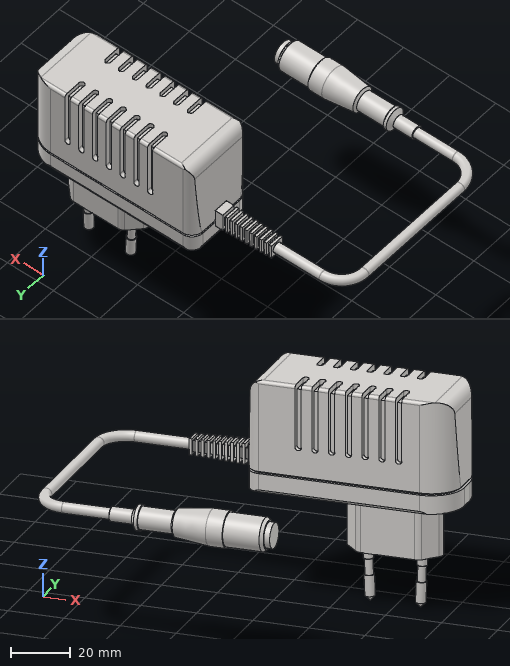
import cadquery as cq
import math


OVERALL_LENGTH = 130.0
OVERLAP = 1.3

CASE_LENGTH = 74.0
CASE_WIDTH = 28.9
CASE_HEIGHT = 40.0
CABLE_END_RADIUS = 4.8
FAR_END_RADIUS = 11.7
END_DRAFT = math.radians(2.2)
COVER_FAR_STEP = 0.3
END_TOP_RADIUS = 5.2
SIDE_TOP_RADIUS = 1.2
FOOT_BEVEL_HEIGHT = 0.8
FOOT_BEVEL_DEPTH = 0.3

BASE_HEIGHT = 6.6
GROOVE_HEIGHT = 0.8
GROOVE_DEPTH = 1.0

SLOT_COUNT = 7
SLOT_PITCH = 6.0
SLOT_FIRST_X = 19.0
SLOT_WIDTH = 2.2
SLOT_DEPTH = 2.0
SLOT_BOTTOM_Z = 16.8
SLOT_TOP_REACH = 8.6

PLUG_X = 48.4
PLUG_LENGTH = 34.3
PLUG_WIDTH = 15.0
PLUG_HEIGHT = 19.8
PLUG_CORNER_RADIUS = 3.0
PIN_SPACING = 19.5
PIN_TILT = 2.3
PIN_RADIUS = 1.8
PIN_WAIST_RADIUS = 3.0 / 2
PIN_COLLAR_LENGTH = 4.4
PIN_WAIST_LENGTH = 5.8
PIN_SHANK_LENGTH = 7.5
PIN_TIP_LENGTH = 2.0

CABLE_Z = 8.2
CABLE_RADIUS = 4.0 / 2
CABLE_FAR_X = CASE_LENGTH - OVERALL_LENGTH + CABLE_RADIUS
CABLE_BEND_RADIUS = 9.9

RELIEF_BLOCK_LENGTH = 3.1
RELIEF_WIDTH = 5.8
RELIEF_BLOCK_HEIGHT = 7.5
RELIEF_TIP_HEIGHT = 5.8
RELIEF_CORE_SIDE = 4.0
RIB_COUNT = 10
RIBBED_LENGTH = 21.0
RIB_PITCH = RIBBED_LENGTH / RIB_COUNT
RIB_THICKNESS = 1.0

CONNECTOR_Y = -70.1
CONNECTOR_X = -27.0
CONNECTOR_PROFILE = [
    (0.0, 2.6),
    (8.0, 2.6),
    (9.5, 4.5),
    (10.8, 4.5),
    (10.8, 4.0),
    (22.8, 4.0),
    (23.5, 5.1),
    (35.9, 6.5),
    (41.9, 6.5),
    (41.9, 6.0),
    (54.9, 6.0),
    (56.0, 5.1),
    (56.0, 4.5),
    (58.1, 4.5),
]


def case_plan(height):
    """Case plan with small corners at the cable end and large ones at the far end."""
    block = cq.Workplane("XY").box(CASE_LENGTH, CASE_WIDTH, height, centered=(False, True, False))
    block = block.edges("|Z and <X").fillet(CABLE_END_RADIUS)
    return block.edges("|Z and >X").fillet(FAR_END_RADIUS)


def lengthwise_section():
    """Case section along X: upright base under a cover with drafted, rounded ends.

    The cover steps in slightly from the base at the far end.
    """
    top_inset = (CASE_HEIGHT - BASE_HEIGHT) * math.tan(END_DRAFT)
    outline = [
        (FOOT_BEVEL_DEPTH, 0),
        (CASE_LENGTH, 0),
        (CASE_LENGTH, BASE_HEIGHT),
        (CASE_LENGTH - COVER_FAR_STEP, BASE_HEIGHT),
        (CASE_LENGTH - COVER_FAR_STEP - top_inset, CASE_HEIGHT),
        (top_inset, CASE_HEIGHT),
        (0, BASE_HEIGHT),
        (0, FOOT_BEVEL_HEIGHT),
    ]
    section = cq.Workplane("XZ").polyline(outline).close().extrude(CASE_WIDTH / 2, both=True)
    return section.faces(">Z").edges("|Y").fillet(END_TOP_RADIUS)


def crosswise_section():
    """Case section across Y: rounded top edges and a slight bevel at the foot."""
    half = CASE_WIDTH / 2
    outline = [
        (FOOT_BEVEL_DEPTH - half, 0),
        (half - FOOT_BEVEL_DEPTH, 0),
        (half, FOOT_BEVEL_HEIGHT),
        (half, CASE_HEIGHT),
        (-half, CASE_HEIGHT),
        (-half, FOOT_BEVEL_HEIGHT),
    ]
    section = cq.Workplane("YZ").polyline(outline).close().extrude(CASE_LENGTH)
    return section.faces(">Z").edges("|X").fillet(SIDE_TOP_RADIUS)


def parting_groove():
    outer = case_plan(GROOVE_HEIGHT)
    rim = outer.faces("<Z").wires().toPending()
    core = rim.offset2D(-GROOVE_DEPTH).extrude(GROOVE_HEIGHT, combine=False)
    return outer.cut(core).translate((0, 0, BASE_HEIGHT))


def vent_slot(x):
    """One slot running up the -Y side and over onto the top, with round ends."""
    side_y = -CASE_WIDTH / 2
    radius = SLOT_WIDTH / 2
    side_height = CASE_HEIGHT - SLOT_BOTTOM_Z - radius
    top_length = SLOT_TOP_REACH - radius
    side = (
        cq.Workplane("XZ", origin=(x, side_y, CASE_HEIGHT))
        .moveTo(-radius, 0)
        .lineTo(-radius, -side_height)
        .threePointArc((0, -side_height - radius), (radius, -side_height))
        .lineTo(radius, 0)
        .close()
        .extrude(-SLOT_DEPTH)
    )
    top = (
        cq.Workplane("XY", origin=(x, side_y, CASE_HEIGHT))
        .moveTo(-radius, 0)
        .lineTo(-radius, top_length)
        .threePointArc((0, top_length + radius), (radius, top_length))
        .lineTo(radius, 0)
        .close()
        .extrude(-SLOT_DEPTH)
    )
    return side.union(top)


def case():
    body = case_plan(CASE_HEIGHT).intersect(lengthwise_section()).intersect(crosswise_section())
    body = body.cut(parting_groove())
    for index in range(SLOT_COUNT):
        slot = vent_slot(SLOT_FIRST_X + index * SLOT_PITCH)
        body = body.cut(slot).cut(slot.mirror("XZ"))
    return body


def plug_block():
    """Elongated hexagon with 45 degree noses and rounded upright edges."""
    half_width = PLUG_WIDTH / 2
    nose_loss = PLUG_CORNER_RADIUS * (math.sqrt(2) - 1)
    tip = PLUG_LENGTH / 2 + nose_loss
    shoulder = tip - half_width
    outline = [
        (-tip, 0),
        (-shoulder, -half_width),
        (shoulder, -half_width),
        (tip, 0),
        (shoulder, half_width),
        (-shoulder, half_width),
    ]
    block = cq.Workplane("XY").polyline(outline).close().extrude(-PLUG_HEIGHT)
    return block.edges("|Z").fillet(PLUG_CORNER_RADIUS).translate((PLUG_X, 0, 0))


def pin(side):
    """One stepped contact pin, leaning towards the other; side is -1 or 1."""
    root = OVERLAP
    waist_z = -PIN_COLLAR_LENGTH
    shank_z = waist_z - PIN_WAIST_LENGTH
    tip_z = shank_z - PIN_SHANK_LENGTH
    outline = [
        (0, root),
        (PIN_RADIUS, root),
        (PIN_RADIUS, waist_z),
        (PIN_WAIST_RADIUS, waist_z),
        (PIN_WAIST_RADIUS, shank_z),
        (PIN_RADIUS, shank_z),
        (PIN_RADIUS, tip_z),
        (0, tip_z - PIN_TIP_LENGTH),
    ]
    body = cq.Workplane("XZ").polyline(outline).close().revolve(360, (0, 0, 0), (0, 1, 0))
    body = body.rotate((0, 0, 0), (0, 1, 0), side * PIN_TILT)
    return body.translate((PLUG_X + side * PIN_SPACING / 2, 0, -PLUG_HEIGHT))


def cable():
    """Round cable looping from the case to the connector in one level plane."""
    bend = CABLE_BEND_RADIUS
    bend_x = CABLE_FAR_X + bend
    bend_middle = bend * (1 - math.sqrt(0.5))
    path = (
        cq.Workplane("XY", origin=(0, 0, CABLE_Z))
        .moveTo(-RELIEF_BLOCK_LENGTH, 0)
        .lineTo(bend_x, 0)
        .threePointArc((CABLE_FAR_X + bend_middle, -bend_middle), (CABLE_FAR_X, -bend))
        .lineTo(CABLE_FAR_X, CONNECTOR_Y + bend)
        .threePointArc((CABLE_FAR_X + bend_middle, CONNECTOR_Y + bend_middle), (bend_x, CONNECTOR_Y))
        .lineTo(CONNECTOR_X + OVERLAP, CONNECTOR_Y)
    )
    start = cq.Workplane("YZ", origin=(-RELIEF_BLOCK_LENGTH, 0, CABLE_Z))
    return start.circle(CABLE_RADIUS).sweep(path)


def strain_relief():
    """Ribbed sleeve whose height grows towards a plain block on the case."""
    tip_x = -RELIEF_BLOCK_LENGTH - RIBBED_LENGTH
    block_half = RELIEF_BLOCK_HEIGHT / 2
    tip_half = RELIEF_TIP_HEIGHT / 2
    embed = GROOVE_DEPTH + OVERLAP
    outline = [
        (tip_x, -tip_half),
        (-RELIEF_BLOCK_LENGTH, -block_half),
        (embed, -block_half),
        (embed, block_half),
        (-RELIEF_BLOCK_LENGTH, block_half),
        (tip_x, tip_half),
    ]
    sleeve = cq.Workplane("XZ").polyline(outline).close().extrude(RELIEF_WIDTH / 2, both=True)
    core = cq.Workplane("YZ").rect(RELIEF_CORE_SIDE, RELIEF_CORE_SIDE).extrude(tip_x)
    gap_length = RIB_PITCH - RIB_THICKNESS
    gap_side = 2 * RELIEF_BLOCK_HEIGHT
    for index in range(RIB_COUNT):
        gap_x = -RELIEF_BLOCK_LENGTH - index * RIB_PITCH
        gap = cq.Workplane("YZ", origin=(gap_x, 0, 0)).rect(gap_side, gap_side).extrude(-gap_length)
        sleeve = sleeve.cut(gap.cut(core))
    return sleeve.translate((0, 0, CABLE_Z))


def connector():
    length = CONNECTOR_PROFILE[-1][0]
    outline = [(0, 0)] + CONNECTOR_PROFILE + [(length, 0)]
    body = cq.Workplane("XY").polyline(outline).close().revolve(360, (0, 0, 0), (1, 0, 0))
    return body.translate((CONNECTOR_X, CONNECTOR_Y, CABLE_Z))


result = case().union(plug_block())
for pin_side in (-1, 1):
    result = result.union(pin(pin_side))
result = result.union(strain_relief()).union(cable()).union(connector())